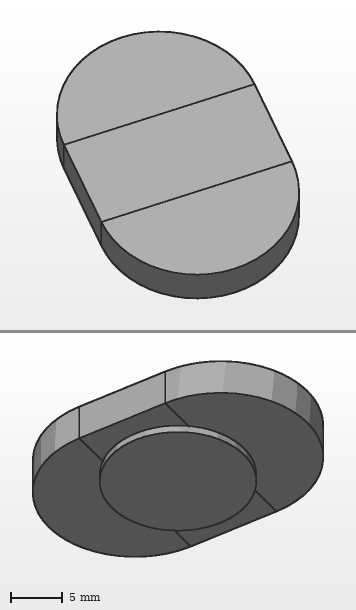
import cadquery as cq

length = 30.0
width = 20.0
total_height = 4.8
boss_diameter = 15.3
boss_height = 0.8

end_radius = width / 2
half_middle = length / 2 - end_radius
plate_height = total_height - boss_height


def make_boss():
    """Round boss centred under the plate, standing on Z = 0."""
    return cq.Workplane("XY").circle(boss_diameter / 2).extrude(boss_height)


def make_middle_block():
    """Straight middle section of the plate, between the two rounded ends."""
    return (
        cq.Workplane("XY")
        .workplane(offset=boss_height)
        .rect(2 * half_middle, width)
        .extrude(plate_height)
    )


def make_round_end(side):
    """Half-disc end of the plate; side is -1 for the -X end and +1 for the +X end."""
    flat_x = side * half_middle
    tip_x = side * length / 2
    return (
        cq.Workplane("XY")
        .workplane(offset=boss_height)
        .moveTo(flat_x, -end_radius)
        .threePointArc((tip_x, 0), (flat_x, end_radius))
        .close()
        .extrude(plate_height)
    )


boss = make_boss()
middle_block = make_middle_block()
round_ends = [make_round_end(side).val() for side in (-1, 1)]

result = cq.Compound.makeCompound([boss.val(), middle_block.val(), *round_ends])